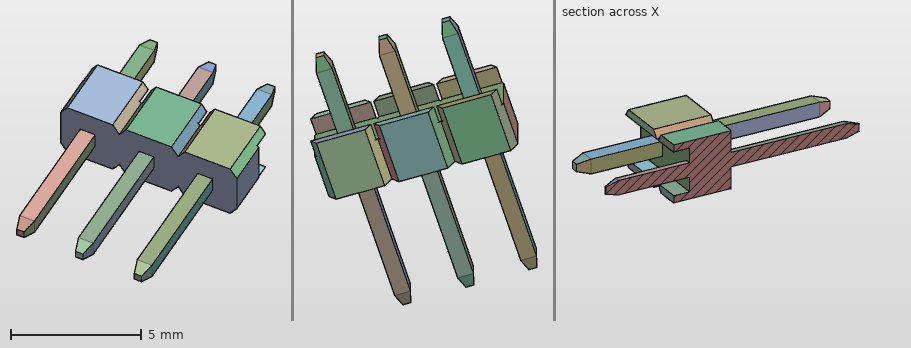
import cadquery as cq

pin_count = 3
pitch = 2.54

housing_depth = 2.54
housing_height = 2.5
chamfer_width = 0.29
chamfer_height = 0.4
lip_thickness = 0.32
recess_depth = 0.7

pin_width = 0.64
tip_width = 0.32
tip_length = 0.56
front_length = 5.66
back_length = 3.0
pin_offset = -0.1

row_length = pin_count * pitch
pin_length = front_length + housing_depth + back_length
cell_positions = [(i - (pin_count - 1) / 2) * pitch for i in range(pin_count)]


def housing_cell(center_x):
    """One octagonal housing segment; neighbours meet in V notches."""
    half_width = pitch / 2
    half_height = housing_height / 2
    flat_x = half_width - chamfer_width
    side_z = half_height - chamfer_height
    outline = [
        (-half_width, -side_z),
        (-flat_x, -half_height),
        (flat_x, -half_height),
        (half_width, -side_z),
        (half_width, side_z),
        (flat_x, half_height),
        (-flat_x, half_height),
        (-half_width, side_z),
    ]
    cell = cq.Workplane("XZ").polyline(outline).close().extrude(-housing_depth)
    return cell.translate((center_x, 0, 0))


def back_recess():
    """Full-width recess in the back face, leaving a top and a bottom lip."""
    recess_height = housing_height - 2 * lip_thickness
    recess_center_y = housing_depth - recess_depth / 2
    return cq.Workplane("XY").box(row_length, recess_depth, recess_height).translate((0, recess_center_y, 0))


def pin(center_x):
    """Square pin tapering to a smaller square at both ends."""
    shaft_start = -front_length + tip_length
    shaft_length = pin_length - 2 * tip_length
    front_plane = cq.Plane(origin=(center_x, shaft_start, 0), xDir=(1, 0, 0), normal=(0, -1, 0))
    back_plane = cq.Plane(origin=(center_x, shaft_start + shaft_length, 0), xDir=(1, 0, 0), normal=(0, 1, 0))
    shaft = cq.Workplane(front_plane).rect(pin_width, pin_width).extrude(-shaft_length)
    for end_plane in (front_plane, back_plane):
        tip = (
            cq.Workplane(end_plane)
            .rect(pin_width, pin_width)
            .workplane(offset=tip_length)
            .rect(tip_width, tip_width)
            .loft(ruled=True)
        )
        shaft = shaft.union(tip)
    return shaft


housing = housing_cell(cell_positions[0])
for x in cell_positions[1:]:
    housing = housing.union(housing_cell(x))
housing = housing.cut(back_recess())

result = housing.clean()
for x in cell_positions:
    result = result.union(pin(x + pin_offset))